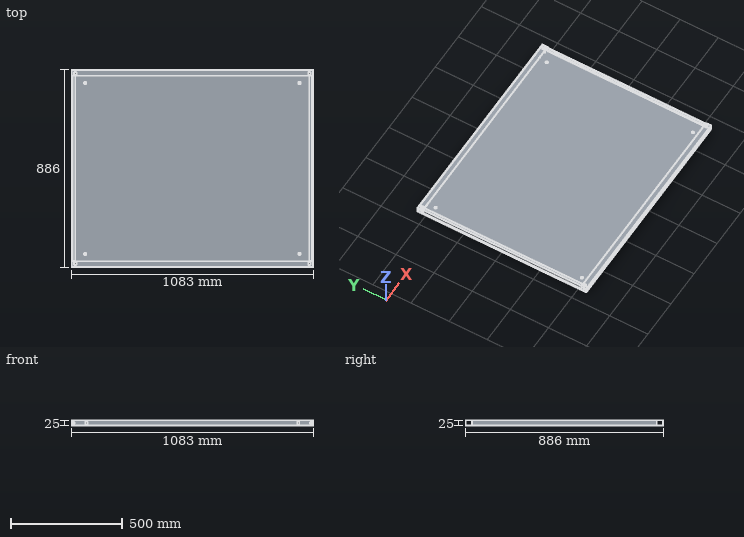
import cadquery as cq

length = 1083
width = 886.0
height = 25.0
sheet = 1.5

long_lip = 27.0

rim_gap = 1.0
rim_inset = 3.0
short_lip = 13.0
lip_corner = 3.0
short_rim_length = width - 2 * (long_lip + rim_gap)
short_rim_face = length / 2 - rim_inset

floor_hole = 10.0
inner_hole_spacing = (962.0, 767.0)
under_lip_spacing = (979.0, 857.0)

corner_slot_length = 14.0
corner_slot_width = 10.0
corner_slot_spacing = (1050, 852.0)

wall_slot_length = 15.0
wall_slot_width = 9.0
wall_slot_spacing = 951.0
notch_height = 8.0
notch_depth = 13.0


def block(size_x, size_y, size_z, x, y, z):
    """Box centred at (x, y) whose underside is at z."""
    return cq.Workplane("XY").box(size_x, size_y, size_z, centered=(True, True, False)).translate((x, y, z))


def long_rim(side):
    wall = block(length, sheet, height, 0, side * (width - sheet) / 2, 0)
    lip = block(length, long_lip, sheet, 0, side * (width - long_lip) / 2, height - sheet)
    return wall.union(lip)


def short_rim(side):
    wall = block(sheet, short_rim_length, height, side * (short_rim_face - sheet / 2), 0, 0)
    lip_x = side * (short_rim_face - short_lip / 2)
    lip = block(short_lip, short_rim_length, sheet, lip_x, 0, height - sheet)
    outer_edges = ">X" if side > 0 else "<X"
    lip = lip.edges("|Z").edges(outer_edges).chamfer(lip_corner)
    return wall.union(lip)


def long_wall_cuts():
    """Slots and end notches running straight through both long walls."""
    mid_height = cq.Workplane("XZ").workplane(offset=-width / 2).center(0, height / 2)
    slots = mid_height.rarray(wall_slot_spacing, 11, 2, 1)
    slots = slots.slot2D(wall_slot_length, wall_slot_width, 90).extrude(width)
    notches = mid_height.rarray(length, 11, 2, 1)
    notches = notches.slot2D(2 * notch_depth, notch_height).extrude(width)
    return slots.union(notches)


def four_corners(spacing):
    return cq.Workplane("XY").rarray(*spacing, 2, 2)


floor = block(length, width, sheet, 0, 0, 0)
for spacing in (inner_hole_spacing, under_lip_spacing):
    floor = floor.cut(four_corners(spacing).circle(floor_hole / 2).extrude(sheet))

long_rims = long_rim(-1).union(long_rim(1)).cut(long_wall_cuts())
corner_slots = four_corners(corner_slot_spacing)
corner_slots = corner_slots.slot2D(corner_slot_length, corner_slot_width, 90).extrude(height)

result = floor.union(long_rims).union(short_rim(-1)).union(short_rim(1)).cut(corner_slots)